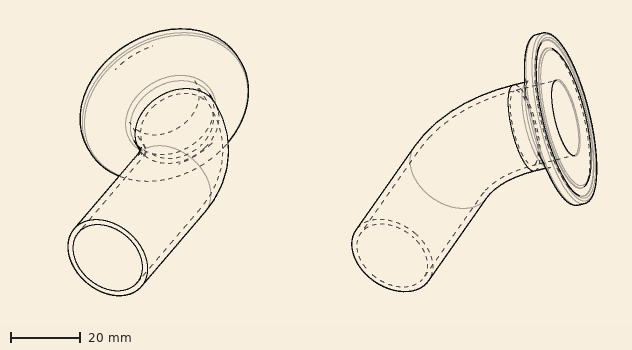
import cadquery as cq
import math

tube_radius = 25.4 / 2
bore_radius = 22.1 / 2

leg_length = 41.4
bend_radius = 38.1
bend_angle = 45.0

ferrule_length = 12.8
flange_radius = 50.4 / 2
rim_thickness = 3.0
cone_angle = 20.0
rim_fillet = 0.7
neck_fillet = 1.4
bore_edge_fillet = 0.3

groove_mean_radius = 21.8
groove_width = 2.9
groove_flank_angle = 52.0
groove_bottom_radius = 1.4
groove_lip_fillet = 0.8

rim_back = ferrule_length - rim_thickness
cone_height = (flange_radius - tube_radius) * math.tan(math.radians(cone_angle))
neck_top = rim_back - cone_height


def revolve_about_y(profile):
    """Full turn of a closed XY profile about the Y axis."""
    return profile.close().revolve(360, (0, 0, 0), (0, 1, 0))


def round_circle(body, circle_radius, height, fillet):
    """Fillets the circular edge of the given radius at the given height on the Y axis."""
    tolerance = 0.001

    def is_wanted(edge):
        return (
            edge.geomType() == "CIRCLE"
            and abs(edge.radius() - circle_radius) < tolerance
            and abs(edge.arcCenter().y - height) < tolerance
        )

    return body.edges().filter(is_wanted).fillet(fillet)


def make_elbow():
    """Straight leg and bend as one tube."""
    leg = cq.Workplane("XZ").circle(tube_radius).circle(bore_radius).extrude(-leg_length)
    bend = (
        cq.Workplane("XZ", origin=(0, leg_length, 0))
        .circle(tube_radius)
        .circle(bore_radius)
        .revolve(bend_angle, (-bend_radius, 0, 0), (-bend_radius, 1, 0))
    )
    return leg.union(bend)


def make_ferrule_blank():
    """Bored neck, cone and rim with sharp edges."""
    return revolve_about_y(
        cq.Workplane("XY")
        .moveTo(bore_radius, 0)
        .lineTo(tube_radius, 0)
        .lineTo(tube_radius, neck_top)
        .lineTo(flange_radius, rim_back)
        .lineTo(flange_radius, ferrule_length)
        .lineTo(bore_radius, ferrule_length)
    )


def cut_gasket_groove(body):
    """Ring groove in the sealing face: sloped flanks, a tangent arc bottom and rounded lips."""
    inner_radius = groove_mean_radius - groove_width / 2
    outer_radius = groove_mean_radius + groove_width / 2
    flank = math.radians(groove_flank_angle)
    bottom_half_width = groove_bottom_radius * math.sin(flank)
    flank_depth = (groove_width / 2 - bottom_half_width) * math.tan(flank)
    groove_depth = flank_depth + groove_bottom_radius * (1 - math.cos(flank))
    cutter = revolve_about_y(
        cq.Workplane("XY")
        .moveTo(inner_radius, ferrule_length)
        .lineTo(groove_mean_radius - bottom_half_width, ferrule_length - flank_depth)
        .threePointArc(
            (groove_mean_radius, ferrule_length - groove_depth),
            (groove_mean_radius + bottom_half_width, ferrule_length - flank_depth),
        )
        .lineTo(outer_radius, ferrule_length)
    )
    body = body.cut(cutter)
    for lip_radius in (inner_radius, outer_radius):
        body = round_circle(body, lip_radius, ferrule_length, groove_lip_fillet)
    return body


def make_ferrule():
    """Finished ferrule, set on the end of the bend."""
    body = make_ferrule_blank()
    body = round_circle(body, tube_radius, neck_top, neck_fillet)
    body = round_circle(body, flange_radius, rim_back, rim_fillet)
    body = round_circle(body, flange_radius, ferrule_length, rim_fillet)
    body = round_circle(body, bore_radius, ferrule_length, bore_edge_fillet)
    body = cut_gasket_groove(body)

    turn = math.radians(bend_angle)
    bend_end_x = -bend_radius * (1 - math.cos(turn))
    bend_end_y = leg_length + bend_radius * math.sin(turn)
    return body.rotate((0, 0, 0), (0, 0, 1), bend_angle).translate((bend_end_x, bend_end_y, 0))


elbow = make_elbow()
ferrule = make_ferrule()

result = cq.Compound.makeCompound([elbow.val(), ferrule.val()])